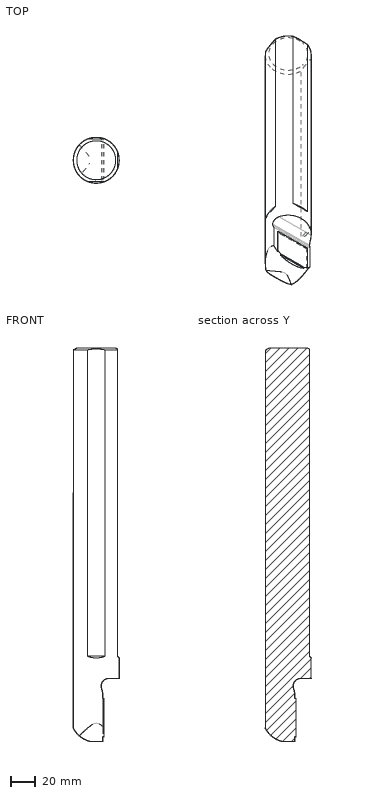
import cadquery as cq
import math

length = 324.8
diameter = 38.0
radius = diameter / 2
top_face_diameter = 32.0
top_chamfer_height = 1.5

flat_distance = 17.5
flat_end_z = 70.5
flat_depth = radius - flat_distance
flat_angles = (0, 90, -90)

shoulder_z = 52.0
shoulder_fillet = 6.0
neck_x = 4.2
ramp_top_z = 44.8
ramp_bottom_z = 40.0
seat_x = 5.5

plate_x = 6.5
plate_width = 29.2
plate_top_z = 35.7
plate_bottom_z = 4.0

nose_radius = 19.5
relief_top_z = 11.0
relief_middle_x = -11.7
relief_middle_z = 3.0

overrun = 32.5


def make_bar():
    bar = cq.Workplane("XY").circle(radius).extrude(length)
    top_inset = (diameter - top_face_diameter) / 2
    return bar.faces(">Z").chamfer(top_chamfer_height, top_inset)


def make_flat_cutter(angle):
    outer_x = radius + overrun
    profile = [
        (flat_distance, length),
        (flat_distance, flat_end_z),
        (radius, flat_end_z - flat_depth),
        (outer_x, flat_end_z - flat_depth),
        (outer_x, length),
    ]
    cutter = cq.Workplane("XZ").polyline(profile).close().extrude(radius, both=True)
    return cutter.rotate((0, 0, 0), (0, 0, 1), angle)


def make_recess_cutter():
    outer_x = radius + overrun
    fillet_offset = shoulder_fillet * (1 - math.sqrt(0.5))
    return (
        cq.Workplane("XZ")
        .moveTo(outer_x, shoulder_z)
        .lineTo(neck_x + shoulder_fillet, shoulder_z)
        .threePointArc(
            (neck_x + fillet_offset, shoulder_z - fillet_offset),
            (neck_x, shoulder_z - shoulder_fillet),
        )
        .lineTo(neck_x, ramp_top_z)
        .lineTo(seat_x, ramp_bottom_z)
        .lineTo(seat_x, -overrun)
        .lineTo(outer_x, -overrun)
        .close()
        .extrude(radius, both=True)
    )


def make_plate():
    plate_height = plate_top_z - plate_bottom_z
    return (
        cq.Workplane("XY")
        .box(plate_x, plate_width, plate_height, centered=(False, True, False))
        .translate((0, 0, plate_bottom_z))
    )


def make_nose_envelope():
    """Round-bottomed shape along X that holds the whole bar above the nose."""
    return (
        cq.Workplane("YZ")
        .moveTo(-nose_radius, nose_radius)
        .threePointArc((0, 0), (nose_radius, nose_radius))
        .lineTo(nose_radius, length)
        .lineTo(-nose_radius, length)
        .close()
        .extrude(diameter, both=True)
    )


def make_relief_cutter():
    return (
        cq.Workplane("XZ")
        .moveTo(-radius, relief_top_z)
        .threePointArc((relief_middle_x, relief_middle_z), (seat_x, 0))
        .lineTo(seat_x, -overrun)
        .lineTo(-radius - overrun, -overrun)
        .lineTo(-radius - overrun, relief_top_z)
        .close()
        .extrude(radius, both=True)
    )


bar = make_bar()
for angle in flat_angles:
    bar = bar.cut(make_flat_cutter(angle))
bar = bar.cut(make_recess_cutter()).union(make_plate())
result = bar.intersect(make_nose_envelope()).cut(make_relief_cutter())